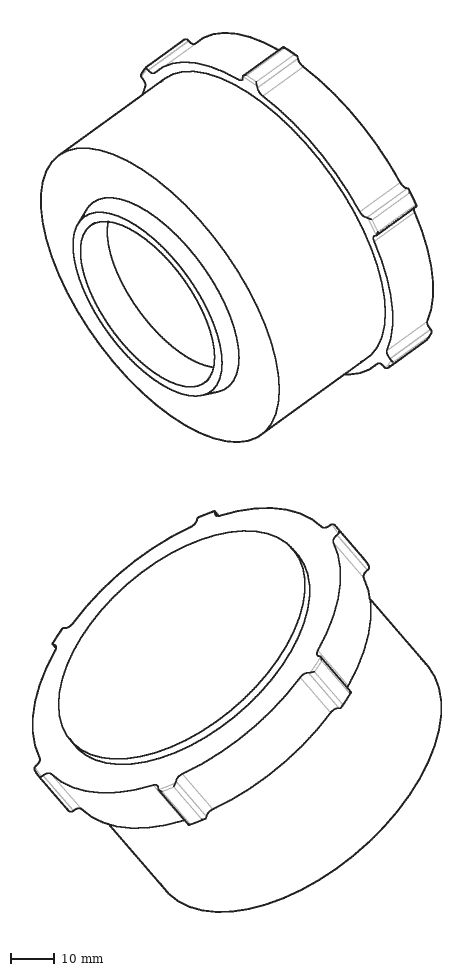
import cadquery as cq
import math

nose_length = 4.0
body_length = 34.0
collar_length = 13.0
lip_length = 2.0

nose_tip_diameter = 50.0
nose_base_diameter = 53.0
body_diameter = 80.0
collar_diameter = 85.0
lip_diameter = 68.0

recess_diameter = 45.0
recess_depth = 8.6

lug_count = 6
lug_first_angle = 97.0
lug_width = 5.0
lug_tip_diameter = 90.0
lug_root_fillet = 1.7
lug_side_fillet = 0.9
lug_end_fillet = 0.5

nose_front = 0.0
body_front = nose_front + nose_length
collar_front = body_front + body_length
collar_back = collar_front + collar_length


def disc(diameter, front, length):
    """Solid cylinder about Y, reaching from `front` toward +Y."""
    sketch = cq.Workplane("XZ", origin=(0, front, 0)).circle(diameter / 2)
    return sketch.extrude(-length)


def make_nose():
    """Cone that widens from its front rim to the body."""
    radius_tip = nose_tip_diameter / 2
    radius_base = nose_base_diameter / 2
    profile = cq.Workplane("XY").polyline([
        (0, nose_front),
        (radius_tip, nose_front),
        (radius_base, body_front),
        (0, body_front),
    ]).close()
    return profile.revolve(360, (0, 0, 0), (0, 1, 0))


def lug_angle(index):
    """Angle of a lug's centre in degrees, from +X toward +Z."""
    return lug_first_angle + index * 360.0 / lug_count


def make_lug():
    """One lug on the +Z side: a radial bar ending on the lug tip cylinder, with rounded tip edges."""
    tip_radius = lug_tip_diameter / 2
    tip_cylinder = disc(lug_tip_diameter, collar_front, collar_length)
    bar = cq.Workplane("XY", origin=(0, collar_front, 0)).box(
        lug_width, collar_length, tip_radius, centered=(True, False, False)
    )
    bar = bar.intersect(tip_cylinder)
    bar = bar.faces(">Z").edges("|Y").fillet(lug_side_fillet)
    return bar.intersect(tip_cylinder.edges().fillet(lug_end_fillet))


def make_collar():
    """Collar with evenly spaced lugs blended into its rim."""
    collar = disc(collar_diameter, collar_front, collar_length)
    lug = make_lug()
    for index in range(lug_count):
        turn = 90.0 - lug_angle(index)
        collar = collar.union(lug.rotate((0, 0, 0), (0, 1, 0), turn))

    collar_radius = collar_diameter / 2
    collar_middle = collar_front + collar_length / 2
    half_root_angle = math.asin(lug_width / collar_diameter)
    for index in range(lug_count):
        for side in (-1, 1):
            angle = math.radians(lug_angle(index)) + side * half_root_angle
            point = (collar_radius * math.cos(angle), collar_middle, collar_radius * math.sin(angle))
            root_edge = cq.selectors.NearestToPointSelector(point)
            collar = collar.edges(root_edge).fillet(lug_root_fillet)
    return collar


def make_part():
    """Body with its nose, lugged collar and rear lip, and a blind round recess in the nose."""
    part = disc(body_diameter, body_front, body_length)
    part = part.union(make_nose())
    part = part.union(make_collar())
    part = part.union(disc(lip_diameter, collar_back, lip_length))
    return part.cut(disc(recess_diameter, nose_front, recess_depth))


result = make_part()